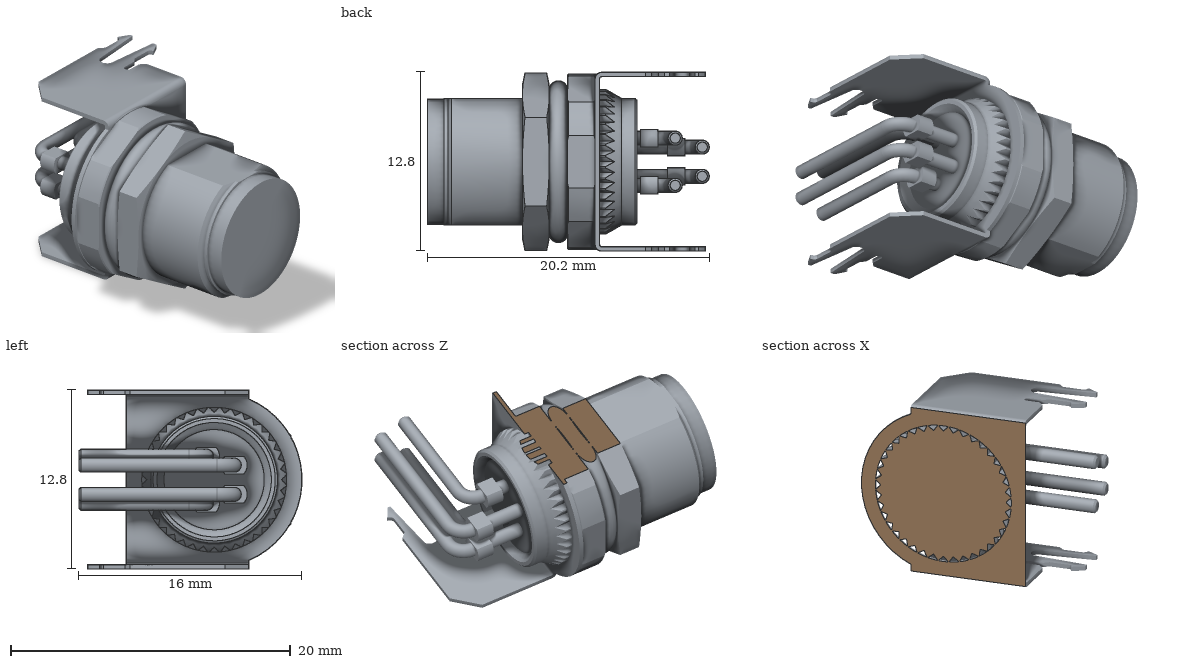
import cadquery as cq
import math


body_rear = 5.15
cone_start = 6.29
knurl_start = 7.42
plate_rear = 7.84
sheet = 0.32
flange_rear = plate_rear + sheet
flange_front = 10.14
nut_rear = 11.45
nut_front = 13.35
barrel_front = 18.42
neck_start = 18.68
neck_end = 18.96
body_front = 20.15

rear_radius = 4.53
rear_chamfer = 0.16
knurl_radius = 5.18
barrel_radius = 5.02
neck_radius = 4.65
nose_radius = 4.47
barrel_flat = 4.53

recess_rim_radius = 4.1
recess_floor_radius = 3.59
recess_depth = 0.5

knurl_count = 40
groove_root_radius = 4.82
groove_overcut = 0.2

flange_radius = 6.29
flange_apothem = 6.0
flange_chamfer = 0.08
ring_tube_radius = (nut_rear - flange_front) / 2
ring_outer_radius = 5.78
nut_apothem = 5.5
nut_corner_radius = nut_apothem / math.cos(math.radians(30))
nut_chamfer = 0.18

bracket_height = 12.8
bracket_bottom = -2.48
bracket_top = 6.29
bend_radius = 0.46
tab_rear = 0.28
tab_corner = 1.71

prong_top = 9.05
barb_base = 8.1
barb_lip = 0.1
barb_bevel = 0.18
waist_bottom = 6.37
shoulder = 6.0
rear_waist = 0.66
rear_tip = 0.79
front_waist = 3.35
front_edge = 3.63
front_tip = 3.2
barb_land = 0.12

gap_centre = 1.93
gap_half_mouth = 0.93
gap_half_root = 0.52
gap_root = 4.78
gap_bottom = 4.45

slot_width = 0.52
slot_root = 4.9
slot_bottom = 4.67
slot_chamfer = 0.4

pin_radius = 0.5
pin_top = 9.67
pin_chamfer = 0.15
pin_bend_radius = 1.25
pin_circle_radius = 1.77
pin_spacing_angle = 72
short_pin_rear = 1.93
collar_length = 1.25
collar_radius = 0.93
collar_half_width = 0.62


def cylinder_x(radius, start, end):
    """Solid cylinder on the connector axis."""
    return cq.Workplane("YZ", origin=(start, 0, 0)).circle(radius).extrude(end - start)


def hexagon_x(apothem, start, end):
    """Hexagonal prism on the connector axis, with flats facing -Y and +Y."""
    corner = apothem / math.cos(math.radians(30))
    angles = [math.radians(30 + 60 * i) for i in range(6)]
    points = [(corner * math.cos(a), corner * math.sin(a)) for a in angles]
    return cq.Workplane("YZ", origin=(start, 0, 0)).polyline(points).close().extrude(end - start)


def revolve_x(points):
    """Solid of revolution from (x, radius) points around the connector axis."""
    profile = cq.Workplane("XY").polyline(points).close()
    return profile.revolve(360, (0, 0, 0), (1, 0, 0))


def make_rear_body():
    recess_floor = body_rear + recess_depth
    body = revolve_x([
        (recess_floor, 0),
        (recess_floor, recess_floor_radius),
        (body_rear, recess_rim_radius),
        (body_rear, rear_radius - rear_chamfer),
        (body_rear + rear_chamfer, rear_radius),
        (cone_start, rear_radius),
        (knurl_start, knurl_radius),
        (flange_rear, knurl_radius),
        (flange_rear, 0),
    ])
    groove_mouth = knurl_radius + groove_overcut
    half_mouth = groove_mouth - groove_root_radius
    groove = (
        cq.Workplane("YZ", origin=(cone_start, 0, 0))
        .moveTo(groove_root_radius, 0)
        .lineTo(groove_mouth, half_mouth)
        .lineTo(groove_mouth, -half_mouth)
        .close()
        .extrude(flange_rear - cone_start)
    )
    for i in range(knurl_count):
        body = body.cut(groove.rotate((0, 0, 0), (1, 0, 0), 360 * i / knurl_count))
    return body


def make_flange():
    disc = cylinder_x(flange_radius, flange_rear, flange_front).faces("<X or >X").chamfer(flange_chamfer)
    return disc.intersect(hexagon_x(flange_apothem, flange_rear, flange_front))


def make_sealing_ring():
    centre_x = (flange_front + nut_rear) / 2
    centre_radius = ring_outer_radius - ring_tube_radius
    section = cq.Workplane("XY").center(centre_x, centre_radius).circle(ring_tube_radius)
    return section.revolve(360, (-centre_x, -centre_radius, 0), (-centre_x + 0.2, -centre_radius, 0))


def make_nut():
    nut = hexagon_x(nut_apothem, nut_rear, nut_front)
    chamfered_blank = revolve_x([
        (nut_rear, 0),
        (nut_rear, nut_apothem),
        (nut_rear + nut_chamfer, nut_corner_radius),
        (nut_front - nut_chamfer, nut_corner_radius),
        (nut_front, nut_apothem),
        (nut_front, 0),
    ])
    return nut.intersect(chamfered_blank)


def make_barrel():
    barrel = revolve_x([
        (flange_front, 0),
        (flange_front, barrel_radius),
        (barrel_front, barrel_radius),
        (neck_start, neck_radius),
        (neck_end, neck_radius),
        (neck_end, nose_radius),
        (body_front, nose_radius),
        (body_front, 0),
    ])
    length = body_front - flange_front
    between_flats = cq.Workplane("XY").box(length, 2 * barrel_radius, 2 * barrel_flat)
    return barrel.intersect(between_flats.translate((flange_front + length / 2, 0, 0)))


def make_tab_outline():
    """Outline of both tabs in the XY plane: body, two barbed prongs and a relief slot."""
    slot_front = front_edge + slot_width
    return (
        cq.Workplane("XY")
        .moveTo(flange_rear, bracket_bottom)
        .lineTo(tab_rear + tab_corner, bracket_bottom)
        .lineTo(tab_rear, bracket_bottom + tab_corner)
        .lineTo(tab_rear, shoulder)
        .lineTo(rear_waist, waist_bottom)
        .lineTo(rear_waist, barb_base - barb_bevel)
        .lineTo(rear_waist - barb_land, barb_base)
        .lineTo(tab_rear, barb_base + barb_lip)
        .lineTo(rear_tip, prong_top)
        .lineTo(gap_centre - gap_half_mouth, prong_top)
        .lineTo(gap_centre - gap_half_root, gap_root)
        .threePointArc((gap_centre, gap_bottom), (gap_centre + gap_half_root, gap_root))
        .lineTo(gap_centre + gap_half_mouth, prong_top)
        .lineTo(front_tip, prong_top)
        .lineTo(front_edge, barb_base + barb_lip)
        .lineTo(front_edge, barb_base)
        .lineTo(front_waist + barb_land, barb_base)
        .lineTo(front_waist, barb_base - barb_bevel)
        .lineTo(front_waist, waist_bottom)
        .lineTo(front_edge, shoulder)
        .lineTo(front_edge, slot_root)
        .threePointArc((front_edge + slot_width / 2, slot_bottom), (slot_front, slot_root))
        .lineTo(slot_front, bracket_top - slot_chamfer)
        .lineTo(slot_front + slot_chamfer, bracket_top)
        .lineTo(flange_rear, bracket_top)
        .close()
    )


def make_bracket():
    depth = flange_rear - tab_rear
    channel_size = (depth, prong_top - bracket_bottom)
    centre = ((tab_rear + flange_rear) / 2, (prong_top + bracket_bottom) / 2, 0)
    outer = cq.Workplane("XY").box(*channel_size, bracket_height).translate(centre)
    outer = outer.edges("|Y and >X").fillet(bend_radius)
    inner = cq.Workplane("XY").box(*channel_size, bracket_height - 2 * sheet)
    inner = inner.translate(centre).edges("|Y and >X").fillet(bend_radius - sheet)
    channel = outer.cut(inner.translate((-sheet, 0, 0)))
    outline = make_tab_outline().extrude(bracket_height / 2, both=True)
    plate_disc = cylinder_x(flange_radius, plate_rear, flange_rear)
    plate_hole = cylinder_x(knurl_radius, plate_rear, flange_rear)
    return channel.intersect(outline).union(plate_disc).cut(plate_hole)


def make_pin(rear, angle):
    """Bent pin with its collar, at an angle from +Y on the pin circle."""
    pin_y = pin_circle_radius * math.cos(math.radians(angle))
    pin_z = pin_circle_radius * math.sin(math.radians(angle))
    centre_x = rear + pin_radius
    bend_end = centre_x + pin_bend_radius
    bend_middle = pin_bend_radius * (1 - math.sqrt(0.5))
    path = (
        cq.Workplane("XY", origin=(0, 0, pin_z))
        .moveTo(centre_x, pin_top)
        .lineTo(centre_x, pin_y + pin_bend_radius)
        .threePointArc((centre_x + bend_middle, pin_y + bend_middle), (bend_end, pin_y))
        .lineTo(plate_rear, pin_y)
    )
    start = cq.Workplane("XZ", origin=(centre_x, pin_top, pin_z))
    pin = start.circle(pin_radius).sweep(path).faces(">Y").chamfer(pin_chamfer)
    collar = cq.Workplane("YZ").circle(collar_radius).extrude(collar_length)
    slab = cq.Workplane("YZ").rect(2 * collar_radius, 2 * collar_half_width).extrude(collar_length)
    return pin.union(collar.intersect(slab).translate((bend_end, pin_y, pin_z)))


result = make_rear_body().union(make_bracket()).union(make_flange())
result = result.union(make_barrel()).union(make_sealing_ring()).union(make_nut())
for side in (-1, 1):
    result = result.union(make_pin(short_pin_rear, side * pin_spacing_angle))
    result = result.union(make_pin(0, side * 2 * pin_spacing_angle))